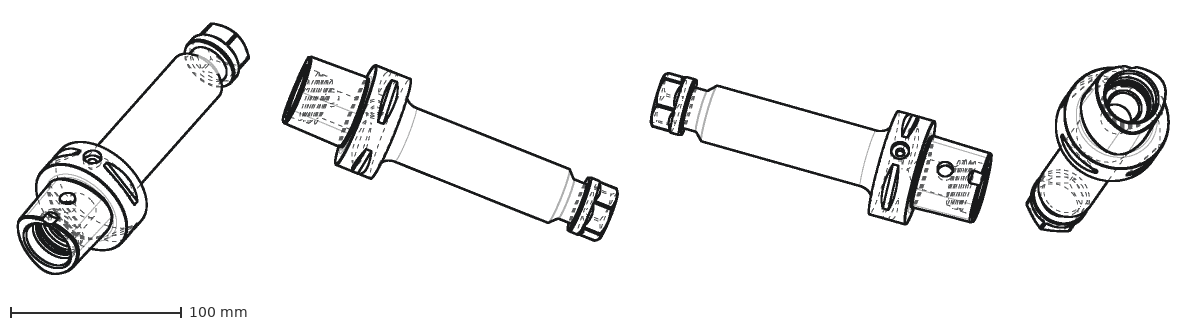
import cadquery as cq
import math


FLANGE_RADIUS = 31.5
FLANGE_WIDTH = 22.2
FLANGE_CHAMFER = 0.4
BODY_RADIUS = 17.0
ROOT_FILLET = 9.5
NECK_RADIUS = 12.5
NECK_START = 133.5
BODY_END = NECK_START - (BODY_RADIUS - NECK_RADIUS)
SHOULDER_BLEND = 0.8

NUT_START = 141.4
NUT_END = 160.4
NUT_RADIUS = BODY_RADIUS
COLLAR_WIDTH = 6.3
COLLAR_CHAMFER_WIDTH = 1.2
COLLAR_CHAMFER_DEPTH = 0.4
HEX_ACROSS_FLATS = 30.0
HEX_CHAMFER_WIDTH = 1.8
HEX_CHAMFER_DEPTH = 2.5

TOTAL_LENGTH = 198
SHANK_LENGTH = TOTAL_LENGTH - NUT_END
LOBE_RADIUS = 13.0
LOBE_CENTRE_OFFSET = 10.3
TAPER_PER_LENGTH = 0.025
SHANK_TIP_CHAMFER = 1.2
SHANK_TIP_INSET = 0.5
SHANK_LEAD_INSET = 0.2
SHANK_LEAD_START = 1.2
SHANK_LEAD_END = 1.8
RELIEF_RADIUS = 22.4
SEAT_RADIUS = 24.4
SEAT_HEIGHT = 0.4

MOUTH_RADIUS = 16.5
ENTRY_RADIUS = 15.2
ENTRY_DEPTH = 8.3
BORE_RADIUS = 13.9
BORE_DEPTH = 17.5
GROOVE_RADIUS = 14.8
GROOVE_START = 10.9
GROOVE_END = 14.7
PILOT_RADIUS = 9.1
PILOT_CHAMFER = 1.2
PILOT_DEPTH = 39.6
DRILL_POINT_ANGLE = 118

GRIP_SLOT_Y = 12.3
GRIP_SLOT_FLOOR = 27.7
GRIP_SLOT_FLOOR_WIDTH = 3.4
GRIP_SLOT_WALL_ANGLE = 30
SOCKET_RADIUS = 5.25
SOCKET_DEPTH = 4.2
SOCKET_HOLE_RADIUS = 2.4
SOCKET_HOLE_DEPTH = 4.0
SHANK_HOLE_RADIUS = 4.5
SHANK_HOLE_Y = -15.2
SHANK_HOLE_END_Z = 12.9
NOTCH_RADIUS = 6.5
NOTCH_AXIS_Z = 24.8
NOTCH_LENGTH = 6.3


def revolve_about_y(points):
    """Turn a closed outline of (radius, y) points about the Y axis."""
    return cq.Workplane("XY").polyline(points).close().revolve(360, (0, 0, 0), (0, 1, 0))


def revolve_about_z(points):
    """Turn a closed outline of (radius, z) points about the Z axis."""
    return cq.Workplane("XZ").polyline(points).close().revolve(360, (0, 0, 0), (0, 1, 0))


def drill_point_height(radius):
    return radius / math.tan(math.radians(DRILL_POINT_ANGLE / 2))


def turned_body():
    """Flange, filleted root, long body, 45 degree shoulder and neck."""
    profile = (
        cq.Workplane("XY")
        .moveTo(0, 0)
        .lineTo(FLANGE_RADIUS - FLANGE_CHAMFER, 0)
        .lineTo(FLANGE_RADIUS, FLANGE_CHAMFER)
        .lineTo(FLANGE_RADIUS, FLANGE_WIDTH)
        .lineTo(BODY_RADIUS + ROOT_FILLET, FLANGE_WIDTH)
        .radiusArc((BODY_RADIUS, FLANGE_WIDTH + ROOT_FILLET), ROOT_FILLET)
        .lineTo(BODY_RADIUS, BODY_END)
        .lineTo(NECK_RADIUS, NECK_START)
        .lineTo(NECK_RADIUS, NUT_START)
        .lineTo(0, NUT_START)
        .close()
    )
    body = profile.revolve(360, (0, 0, 0), (0, 1, 0))
    shoulder = cq.selectors.BoxSelector(
        (-FLANGE_RADIUS, BODY_END - 2, -FLANGE_RADIUS),
        (FLANGE_RADIUS, NUT_START - 2, FLANGE_RADIUS),
    )
    return body.edges("%CIRCLE").edges(shoulder).fillet(SHOULDER_BLEND)


def lobed_wire(inset, y):
    """Constant-width outline of three lobe arcs and three flank arcs, shrunk by inset."""
    lobe_radius = LOBE_RADIUS - inset
    flank_radius = lobe_radius + LOBE_CENTRE_OFFSET * math.sqrt(3)

    def point(centre_angle, radius, angle):
        centre = math.radians(centre_angle)
        direction = math.radians(angle)
        x = LOBE_CENTRE_OFFSET * math.cos(centre) + radius * math.cos(direction)
        z = LOBE_CENTRE_OFFSET * math.sin(centre) + radius * math.sin(direction)
        return cq.Vector(x, y, z)

    arcs = []
    for lobe_angle in (30, 150, 270):
        lobe = [point(lobe_angle, lobe_radius, lobe_angle + turn) for turn in (-30, 0, 30)]
        opposite = lobe_angle + 240
        flank = [point(opposite, flank_radius, lobe_angle + turn) for turn in (30, 60, 90)]
        arcs.append(cq.Edge.makeThreePointArc(*lobe))
        arcs.append(cq.Edge.makeThreePointArc(*flank))
    return cq.Wire.assembleEdges(arcs)


def lobed_section(start_y, start_inset, end_y, end_inset):
    """Straight-sided length of shank between two lobed outlines."""
    wires = [lobed_wire(start_inset, start_y), lobed_wire(end_inset, end_y)]
    return cq.Workplane(cq.Solid.makeLoft(wires, True))


def shank():
    """Tapered shank with a relieved root, a lead-in edge and a chamfered tip."""
    tip_start = SHANK_LENGTH - SHANK_TIP_CHAMFER
    lead_inset = TAPER_PER_LENGTH * SHANK_LEAD_END
    root_inset = lead_inset + SHANK_LEAD_INSET
    tip_inset = TAPER_PER_LENGTH * tip_start
    root = lobed_section(0, root_inset, -SHANK_LEAD_START, root_inset)
    relief = cq.Workplane("XZ").circle(RELIEF_RADIUS).extrude(SHANK_LEAD_START)
    lead = lobed_section(-SHANK_LEAD_START, root_inset, -SHANK_LEAD_END, lead_inset)
    taper = lobed_section(-SHANK_LEAD_END, lead_inset, -tip_start, tip_inset)
    tip = lobed_section(-tip_start, tip_inset, -SHANK_LENGTH, tip_inset + SHANK_TIP_INSET)
    return root.intersect(relief).union(lead).union(taper).union(tip)


def seat_ring():
    """Low conical ring on the flange face around the shank."""
    return revolve_about_y([(0, 0), (SEAT_RADIUS, 0), (RELIEF_RADIUS, -SEAT_HEIGHT), (0, -SEAT_HEIGHT)])


def bore():
    """Stepped and grooved bore; its Y values are depths from the shank tip."""
    mouth_chamfer = MOUTH_RADIUS - ENTRY_RADIUS
    entry_step = ENTRY_RADIUS - BORE_RADIUS
    groove_depth = GROOVE_RADIUS - BORE_RADIUS
    outline = [
        (0, 0),
        (MOUTH_RADIUS, 0),
        (ENTRY_RADIUS, mouth_chamfer),
        (ENTRY_RADIUS, ENTRY_DEPTH),
        (BORE_RADIUS, ENTRY_DEPTH + entry_step),
        (BORE_RADIUS, GROOVE_START),
        (GROOVE_RADIUS, GROOVE_START),
        (GROOVE_RADIUS, GROOVE_END - groove_depth),
        (BORE_RADIUS, GROOVE_END),
        (BORE_RADIUS, BORE_DEPTH),
        (PILOT_RADIUS + PILOT_CHAMFER, BORE_DEPTH),
        (PILOT_RADIUS, BORE_DEPTH + PILOT_CHAMFER),
        (PILOT_RADIUS, PILOT_DEPTH),
        (0, PILOT_DEPTH + drill_point_height(PILOT_RADIUS)),
    ]
    return revolve_about_y(outline).translate((0, -SHANK_LENGTH, 0))


def grip_slots():
    """Four straight slots with sloping walls across the flange rim, on the diagonals."""
    depth = FLANGE_RADIUS - GRIP_SLOT_FLOOR
    half_floor = GRIP_SLOT_FLOOR_WIDTH / 2
    half_top = half_floor + depth * math.tan(math.radians(GRIP_SLOT_WALL_ANGLE))
    outline = [
        (GRIP_SLOT_FLOOR, GRIP_SLOT_Y - half_floor),
        (FLANGE_RADIUS, GRIP_SLOT_Y - half_top),
        (FLANGE_RADIUS, GRIP_SLOT_Y + half_top),
        (GRIP_SLOT_FLOOR, GRIP_SLOT_Y + half_floor),
    ]
    slot = cq.Workplane("XY").polyline(outline).close().extrude(FLANGE_RADIUS, both=True)
    slots = cq.Workplane("XY")
    for angle in (45, 135, 225, 315):
        slots = slots.add(slot.rotate((0, 0, 0), (0, 1, 0), angle))
    return slots.combine()


def flange_socket():
    """Counterbored blind hole in the top of the flange."""
    floor_z = FLANGE_RADIUS - SOCKET_DEPTH
    hole_end_z = floor_z - SOCKET_HOLE_DEPTH
    outline = [
        (0, hole_end_z - drill_point_height(SOCKET_HOLE_RADIUS)),
        (SOCKET_HOLE_RADIUS, hole_end_z),
        (SOCKET_HOLE_RADIUS, floor_z),
        (SOCKET_RADIUS, floor_z),
        (SOCKET_RADIUS, FLANGE_RADIUS),
        (0, FLANGE_RADIUS),
    ]
    return revolve_about_z(outline).translate((0, GRIP_SLOT_Y, 0))


def shank_hole():
    """Blind drilled hole in the upper flank of the shank."""
    outline = [
        (0, SHANK_HOLE_END_Z - drill_point_height(SHANK_HOLE_RADIUS)),
        (SHANK_HOLE_RADIUS, SHANK_HOLE_END_Z),
        (SHANK_HOLE_RADIUS, FLANGE_RADIUS),
        (0, FLANGE_RADIUS),
    ]
    return revolve_about_z(outline).translate((0, SHANK_HOLE_Y, 0))


def drive_notch():
    """Round-bottomed notch in the shank tip with a 45 degree conical inner end."""
    outline = [(0, 0), (NOTCH_RADIUS, 0), (NOTCH_RADIUS, NOTCH_LENGTH), (0, NOTCH_LENGTH + NOTCH_RADIUS)]
    return revolve_about_y(outline).translate((0, -SHANK_LENGTH, NOTCH_AXIS_Z))


def make_holder():
    """Turned body and lobed shank with all holes, slots and the bore cut in."""
    blank = turned_body().union(seat_ring()).union(shank())
    for cutter in (bore(), grip_slots(), flange_socket(), shank_hole(), drive_notch()):
        blank = blank.cut(cutter)
    return blank


def make_nut():
    """Hexagonal nut with a round collar; the hexagon corners are turned to the collar radius."""
    hex_start = NUT_START + COLLAR_WIDTH
    envelope = revolve_about_y([
        (0, NUT_START),
        (NUT_RADIUS - COLLAR_CHAMFER_DEPTH, NUT_START),
        (NUT_RADIUS, NUT_START + COLLAR_CHAMFER_WIDTH),
        (NUT_RADIUS, NUT_END - HEX_CHAMFER_WIDTH),
        (NUT_RADIUS - HEX_CHAMFER_DEPTH, NUT_END),
        (0, NUT_END),
    ])
    collar = revolve_about_y([
        (0, NUT_START),
        (NUT_RADIUS, NUT_START),
        (NUT_RADIUS, hex_start),
        (0, hex_start + NUT_RADIUS),
    ])
    across_corners = HEX_ACROSS_FLATS / math.cos(math.radians(30))
    hexagon = (
        cq.Workplane("XZ", origin=(0, NUT_START, 0))
        .polygon(6, across_corners)
        .extrude(NUT_START - NUT_END)
    )
    return hexagon.union(collar).intersect(envelope)


holder = make_holder()
nut = make_nut()
result = cq.Compound.makeCompound([holder.val(), nut.val()])